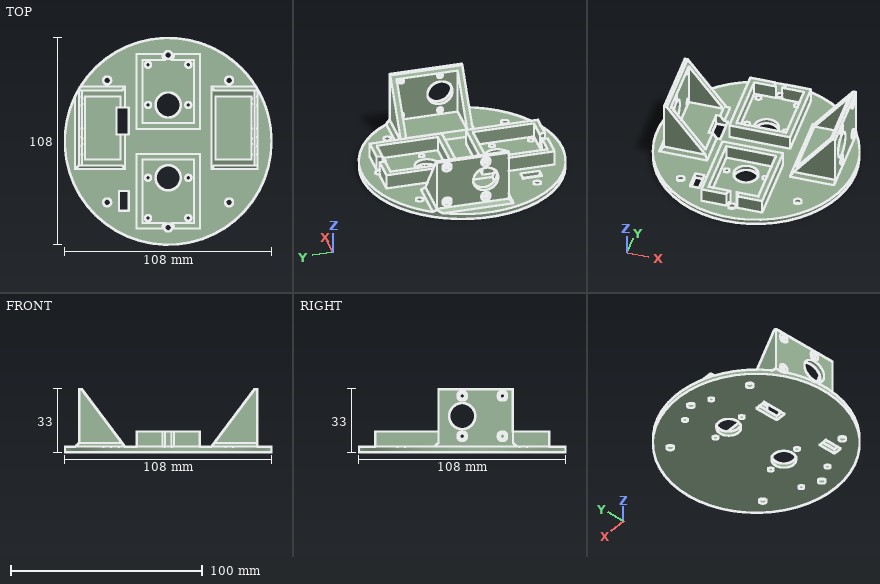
import cadquery as cq

PLATE_DIAMETER = 108.0
PLATE_THICKNESS = 3.0
BLANK_SIZE = PLATE_DIAMETER + 2 * PLATE_THICKNESS
BOLT_CIRCLE_RADIUS = 45.0
BOLT_HOLE_DIAMETER = 4.0
BOLT_HOLE_ANGLES = (45, 90, 135, 225, 270, 315)

MODULE_WIDTH = 27.0
MODULE_LENGTH = 33.0
MODULE_WINDOW_OFFSET = 7.0
SCREW_SPACING = 21.0
SCREW_DIAMETER = 3.0
WALL = 3.0

FRAME_HEIGHT = 8.0
FRAME_GAP = 13.0
FRAME_WINDOW_DIAMETER = 13.0
BOLT_RELIEF_DIAMETER = 6.0

BRACKET_HEIGHT = 30.0
BRACKET_FACE_X = 46.5
BRACKET_TOP_THICKNESS = 1.5
BRACKET_TOE_X = 22.5
FOOT_FLARE = 2.0
BRACKET_WINDOW_DIAMETER = 13.5
BRACKET_WINDOW_Z = 19.0
COUNTERSINK_DIAMETER = 5.0
COUNTERSINK_ANGLE = 90.0

SLOT_INNER_X = -20.6
LARGE_SLOT_SIZE = (6.3, 14.0)
LARGE_SLOT_Y = 10.65
SMALL_SLOT_SIZE = (5.0, 10.2)
SMALL_SLOT_Y = -31.0

FRAME_WIDTH = MODULE_WIDTH + 2 * WALL
FRAME_LENGTH = MODULE_LENGTH + 2 * WALL
FRAME_CENTER_Y = (FRAME_GAP + FRAME_LENGTH) / 2
FRAME_WINDOW_Y = FRAME_CENTER_Y - MODULE_WINDOW_OFFSET
BRACKET_CENTER_Y = MODULE_WINDOW_OFFSET
BRACKET_TOP_Z = PLATE_THICKNESS + BRACKET_HEIGHT
BRACKET_FLOOR_Z = PLATE_THICKNESS + WALL


def cylinder_up(points, diameter, base_z, height):
    """Upright cylinders at the given XY points."""
    plane = cq.Workplane("XY").workplane(offset=base_z)
    return plane.pushPoints(points).circle(diameter / 2).extrude(height)


def make_plate_blank():
    """Square blank resting on Z = 0, trimmed to the round rim once the brackets stand on it."""
    return cq.Workplane("XY").rect(BLANK_SIZE, BLANK_SIZE).extrude(PLATE_THICKNESS)


def make_frame(side):
    """Open rectangular frame on the +Y (side = 1) or -Y (side = -1) half of the plate."""
    plane = cq.Workplane("XY", origin=(0, side * FRAME_CENTER_Y, PLATE_THICKNESS))
    frame = plane.rect(FRAME_WIDTH, FRAME_LENGTH).rect(MODULE_WIDTH, MODULE_LENGTH).extrude(FRAME_HEIGHT)
    bolt_head = [(0, side * BOLT_CIRCLE_RADIUS)]
    return frame.cut(cylinder_up(bolt_head, BOLT_RELIEF_DIAMETER, PLATE_THICKNESS, FRAME_HEIGHT))


def frame_floor_holes(side):
    """Cutters through the plate inside one frame: the window and four screw holes."""
    window_y = side * FRAME_WINDOW_Y
    far_screw_y = side * (FRAME_WINDOW_Y + SCREW_SPACING)
    half = SCREW_SPACING / 2
    screws = [(x, y) for x in (-half, half) for y in (window_y, far_screw_y)]
    window = cylinder_up([(0, window_y)], FRAME_WINDOW_DIAMETER, 0, PLATE_THICKNESS)
    return window.union(cylinder_up(screws, SCREW_DIAMETER, 0, PLATE_THICKNESS))


def bracket_body(face_flare):
    """Solid wedge on the +X end: its side outline intersected with its end outline.

    face_flare is how far the foot spreads beyond the outer face.
    """
    foot_z = PLATE_THICKNESS + FOOT_FLARE
    y_low = BRACKET_CENTER_Y - FRAME_LENGTH / 2
    y_high = BRACKET_CENTER_Y + FRAME_LENGTH / 2
    side_outline = [
        (BRACKET_TOE_X, PLATE_THICKNESS),
        (BRACKET_FACE_X + face_flare, PLATE_THICKNESS),
        (BRACKET_FACE_X, foot_z),
        (BRACKET_FACE_X, BRACKET_TOP_Z),
        (BRACKET_FACE_X - BRACKET_TOP_THICKNESS, BRACKET_TOP_Z),
    ]
    end_outline = [
        (y_low - FOOT_FLARE, PLATE_THICKNESS),
        (y_high + FOOT_FLARE, PLATE_THICKNESS),
        (y_high, foot_z),
        (y_high, BRACKET_TOP_Z),
        (y_low, BRACKET_TOP_Z),
        (y_low, foot_z),
    ]
    wedge = cq.Workplane("XZ").polyline(side_outline).close().extrude(PLATE_DIAMETER / 2, both=True)
    return wedge.intersect(cq.Workplane("YZ").polyline(end_outline).close().extrude(PLATE_DIAMETER / 2))


def bracket_pocket():
    """Cutter for the module space behind the upright face, open through the slope."""
    inner_face_x = BRACKET_FACE_X - WALL
    plane = cq.Workplane("XY", origin=(inner_face_x / 2, BRACKET_CENTER_Y, BRACKET_FLOOR_Z))
    return plane.rect(inner_face_x, MODULE_LENGTH).extrude(BRACKET_HEIGHT)


def make_bracket(face_flare):
    """Bracket on the +X end with its pocket, window and countersunk screw holes."""
    half = SCREW_SPACING / 2
    screws = [(y, z) for y in (0, SCREW_SPACING) for z in (-half, half)]
    face = cq.Plane(origin=(BRACKET_FACE_X, 0, BRACKET_WINDOW_Z), xDir=(0, 1, 0), normal=(1, 0, 0))
    bracket = bracket_body(face_flare).cut(bracket_pocket())
    bracket = bracket.cut(cq.Workplane(face).circle(BRACKET_WINDOW_DIAMETER / 2).extrude(-WALL))
    bracket = cq.Workplane(face).add(bracket.val()).pushPoints(screws)
    return bracket.cskHole(SCREW_DIAMETER, COUNTERSINK_DIAMETER, COUNTERSINK_ANGLE, WALL)


def cable_slot(size, center_y):
    """Rectangular cutter through the plate and anything standing above it."""
    plane = cq.Workplane("XY", origin=(SLOT_INNER_X - size[0] / 2, center_y, 0))
    return plane.rect(*size).extrude(BRACKET_TOP_Z)


result = make_plate_blank()

result = result.union(make_bracket(0))
result = result.union(make_bracket(FOOT_FLARE).mirror("YZ"))

result = result.intersect(cylinder_up([(0, 0)], PLATE_DIAMETER, 0, BRACKET_TOP_Z))

for side in (1, -1):
    result = result.union(make_frame(side))
    result = result.cut(frame_floor_holes(side))

for angle in BOLT_HOLE_ANGLES:
    bolt_hole = cylinder_up([(BOLT_CIRCLE_RADIUS, 0)], BOLT_HOLE_DIAMETER, 0, PLATE_THICKNESS)
    result = result.cut(bolt_hole.rotate((0, 0, 0), (0, 0, 1), angle))

result = result.cut(cable_slot(LARGE_SLOT_SIZE, LARGE_SLOT_Y))
result = result.cut(cable_slot(SMALL_SLOT_SIZE, SMALL_SLOT_Y))